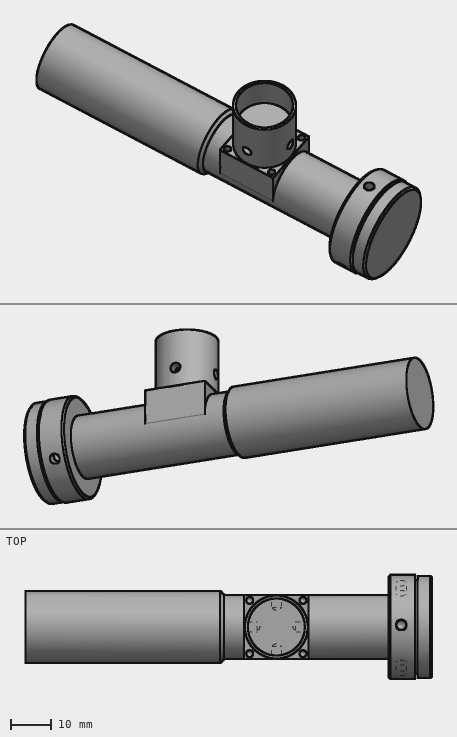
import cadquery as cq
import math

total_length = 101.1
grip_radius = 9.0
grip_end = 49.3
grip_chamfer = 0.9
tube_radius = 8.0

flange_start = 90.3
collar_radius = 12.99
cap_radius = 12.7
groove_start = 96.9
groove_width = 0.6
groove_radius = 11.7
flange_chamfer = 0.5

collar_hole_x = 93.4
collar_hole_depth = 3.0
collar_hole_count = 3
collar_first_angle = 87.5

block_x = 62.4
block_size = 2 * tube_radius
block_top = grip_radius
tower_radius = 7.84
tower_bore_radius = 7.1
tower_top = 24.01
tower_floor = 16.2

tower_hole_z = 14.0
tower_hole_depth = 3.0
tower_hole_count = 4

radial_hole_diameter = 2.5
corner_hole_diameter = 1.7
corner_hole_spacing = 13.2
corner_hole_depth = 4.0
drill_tip_angle = 118.0


def drill(start, direction, diameter, depth):
    """Blind hole with a conical tip, running from start along direction."""
    radius = diameter / 2
    tip = radius / math.tan(math.radians(drill_tip_angle / 2))
    start = cq.Vector(*start)
    direction = cq.Vector(*direction)
    bore = cq.Solid.makeCylinder(radius, depth, start, direction)
    cone = cq.Solid.makeCone(radius, 0, tip, start + direction * depth, direction)
    return bore.fuse(cone)


def make_barrel():
    groove_end = groove_start + groove_width
    profile = [
        (0, 0),
        (0, grip_radius),
        (grip_end - grip_chamfer, grip_radius),
        (grip_end, grip_radius - grip_chamfer),
        (grip_end, tube_radius),
        (flange_start, tube_radius),
        (flange_start, collar_radius - flange_chamfer),
        (flange_start + flange_chamfer, collar_radius),
        (groove_start, collar_radius),
        (groove_start, groove_radius),
        (groove_end, groove_radius),
        (groove_end, cap_radius),
        (total_length - flange_chamfer, cap_radius),
        (total_length, cap_radius - flange_chamfer),
        (total_length, 0),
    ]
    return cq.Workplane("XY").polyline(profile).close().revolve(360, (0, 0, 0), (1, 0, 0))


def make_tower():
    block = cq.Workplane("XY").center(block_x, 0).rect(block_size, block_size).extrude(block_top)
    column = cq.Workplane("XY").center(block_x, 0).circle(tower_radius).extrude(tower_top)
    bore = (
        cq.Workplane("XY", origin=(block_x, 0, tower_floor))
        .circle(tower_bore_radius)
        .extrude(tower_top - tower_floor)
    )
    return block.union(column).cut(bore)


def collar_holes():
    holes = []
    for i in range(collar_hole_count):
        angle = math.radians(collar_first_angle + i * 360 / collar_hole_count)
        y, z = math.cos(angle), math.sin(angle)
        start = (collar_hole_x, collar_radius * y, collar_radius * z)
        holes.append(drill(start, (0, -y, -z), radial_hole_diameter, collar_hole_depth))
    return holes


def tower_holes():
    holes = []
    for i in range(tower_hole_count):
        angle = math.radians(i * 360 / tower_hole_count)
        x, y = math.cos(angle), math.sin(angle)
        start = (block_x + tower_radius * x, tower_radius * y, tower_hole_z)
        holes.append(drill(start, (-x, -y, 0), radial_hole_diameter, tower_hole_depth))
    return holes


def corner_holes():
    offset = corner_hole_spacing / 2
    holes = []
    for x in (block_x - offset, block_x + offset):
        for y in (-offset, offset):
            start = (x, y, block_top)
            holes.append(drill(start, (0, 0, -1), corner_hole_diameter, corner_hole_depth))
    return holes


result = make_barrel().union(make_tower())
for hole in collar_holes() + tower_holes() + corner_holes():
    result = result.cut(cq.Workplane(obj=hole))